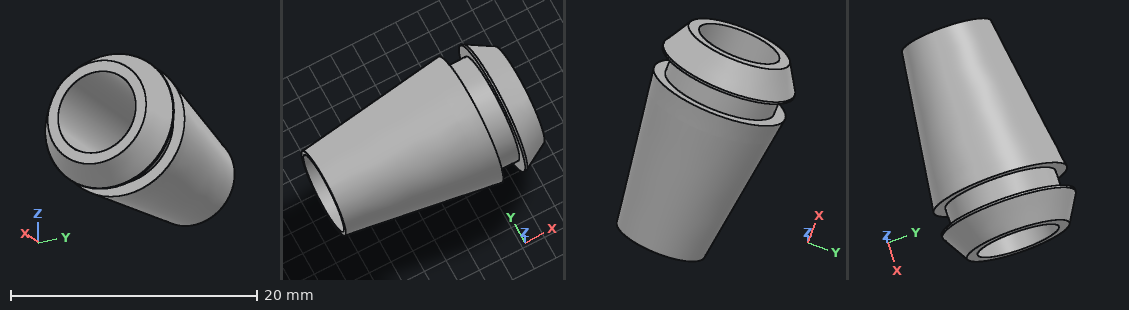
import cadquery as cq
import math

total_length = 18.0
max_radius = 11.51 / 2
bore_radius = 7.0 / 2

taper_length = 13.5
taper_end_length = 1.8
taper_half_angle = 8.0

groove_width = 2.0
groove_radius = 9.5 / 2

rim_width = 0.2
nose_half_angle = 30.0

taper_split_x = taper_length - taper_end_length
groove_end_x = taper_length + groove_width
rim_end_x = groove_end_x + rim_width


def cone_radius(distance, half_angle):
    """Radius at an axial distance away from the largest diameter of a cone."""
    return max_radius - distance * math.tan(math.radians(half_angle))


small_end_radius = cone_radius(taper_length, taper_half_angle)
taper_split_radius = cone_radius(taper_end_length, taper_half_angle)
nose_radius = cone_radius(total_length - rim_end_x, nose_half_angle)


def ring(points):
    """Revolve an outline of (axial position, radius) points about the X axis."""
    outline = cq.Workplane("XY").polyline(points).close()
    return outline.revolve(360, (0, 0, 0), (1, 0, 0), clean=False)


result = ring([
    (0, bore_radius),
    (0, small_end_radius),
    (taper_split_x, taper_split_radius),
    (taper_length, max_radius),
    (taper_length, groove_radius),
    (groove_end_x, groove_radius),
    (groove_end_x, max_radius),
    (rim_end_x, max_radius),
    (total_length, nose_radius),
    (total_length, bore_radius),
])